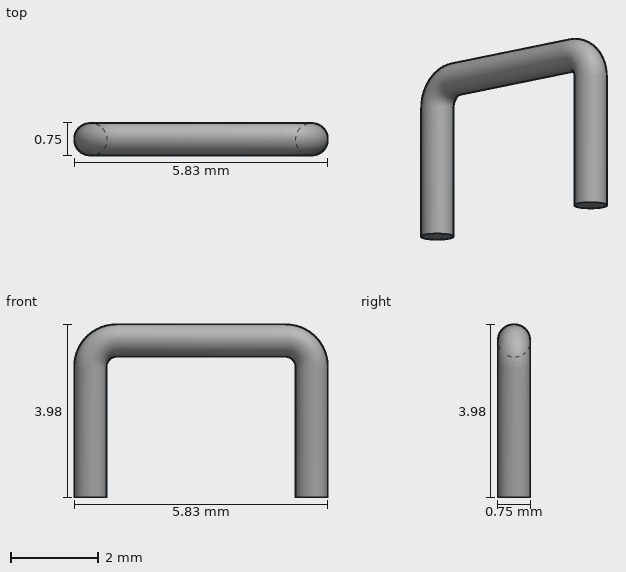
import cadquery as cq
import math

wire_diameter = 0.75
leg_pitch = 5.08
leg_length = 3.0
bend_radius = 0.6

leg_x = leg_pitch / 2
bridge_end_x = leg_x - bend_radius
bridge_z = leg_length + bend_radius
bend_offset = bend_radius * math.sin(math.radians(45))
bend_mid_x = bridge_end_x + bend_offset
bend_mid_z = leg_length + bend_offset


def wire_axis():
    """Centre line: left leg, bend, bridge, bend, right leg, in the XZ plane."""
    return (
        cq.Workplane("XZ")
        .moveTo(-leg_x, 0)
        .lineTo(-leg_x, leg_length)
        .threePointArc((-bend_mid_x, bend_mid_z), (-bridge_end_x, bridge_z))
        .lineTo(bridge_end_x, bridge_z)
        .threePointArc((bend_mid_x, bend_mid_z), (leg_x, leg_length))
        .lineTo(leg_x, 0)
    )


result = (
    cq.Workplane("XY")
    .center(-leg_x, 0)
    .circle(wire_diameter / 2)
    .sweep(wire_axis())
)